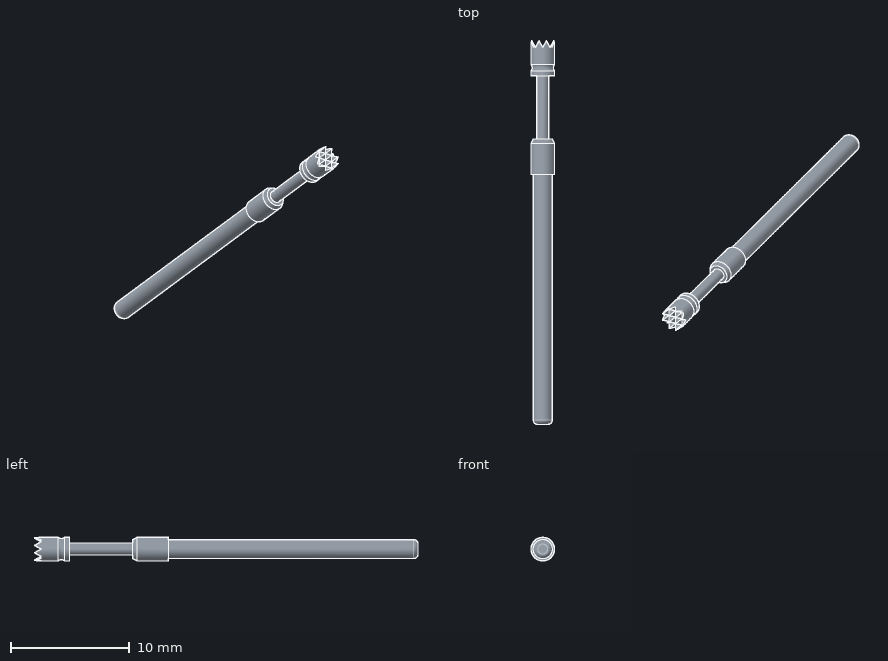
import cadquery as cq

length = 32.3

barrel_radius = 0.8
tail_fillet = 0.4

sleeve_radius = 1.0
sleeve_start = 21.03
sleeve_length = 3.0
sleeve_end = sleeve_start + sleeve_length
mouth_chamfer_length = 0.4
mouth_chamfer_depth = 0.2

stem_radius = 0.52
head_radius = 1.0
head_length = 2.97
crown_length = 2.0
neck_width = 0.55
neck_depth = 0.1
collar_start = length - head_length
crown_start = length - crown_length
collar_end = crown_start - neck_width

tooth_pitch = 0.6
tooth_depth = 0.55
grooves_per_direction = 3


def turned_body():
    """Revolve the half profile (radius along X, length along Y) about the Y axis."""
    neck_bottom = (head_radius - neck_depth, collar_end + neck_width / 2)
    profile = (
        cq.Workplane("XY")
        .moveTo(0, 0)
        .lineTo(barrel_radius - tail_fillet, 0)
        .radiusArc((barrel_radius, tail_fillet), -tail_fillet)
        .lineTo(barrel_radius, sleeve_start)
        .lineTo(sleeve_radius, sleeve_start)
        .lineTo(sleeve_radius, sleeve_end - mouth_chamfer_length)
        .lineTo(sleeve_radius - mouth_chamfer_depth, sleeve_end)
        .lineTo(stem_radius, sleeve_end)
        .lineTo(stem_radius, collar_start)
        .lineTo(head_radius, collar_start)
        .lineTo(head_radius, collar_end)
        .threePointArc(neck_bottom, (head_radius, crown_start))
        .lineTo(head_radius, length)
        .lineTo(0, length)
        .close()
    )
    return profile.revolve(360, (0, 0, 0), (0, 1, 0))


def tooth_grooves():
    """Zigzag cutter for one row of parallel V grooves across the tip, running along Z."""
    first_peak = -grooves_per_direction * tooth_pitch / 2
    zigzag = cq.Workplane("XY").moveTo(first_peak, length)
    for index in range(grooves_per_direction):
        peak = first_peak + index * tooth_pitch
        zigzag = zigzag.lineTo(peak + tooth_pitch / 2, length - tooth_depth)
        zigzag = zigzag.lineTo(peak + tooth_pitch, length)
    zigzag = zigzag.lineTo(-first_peak + tooth_pitch / 2, length + tooth_depth)
    zigzag = zigzag.lineTo(first_peak - tooth_pitch / 2, length + tooth_depth)
    return zigzag.close().extrude(2 * head_radius, both=True)


grooves = tooth_grooves()
crossing_grooves = grooves.rotate((0, 0, 0), (0, 1, 0), 90)
result = turned_body().cut(grooves).cut(crossing_grooves)